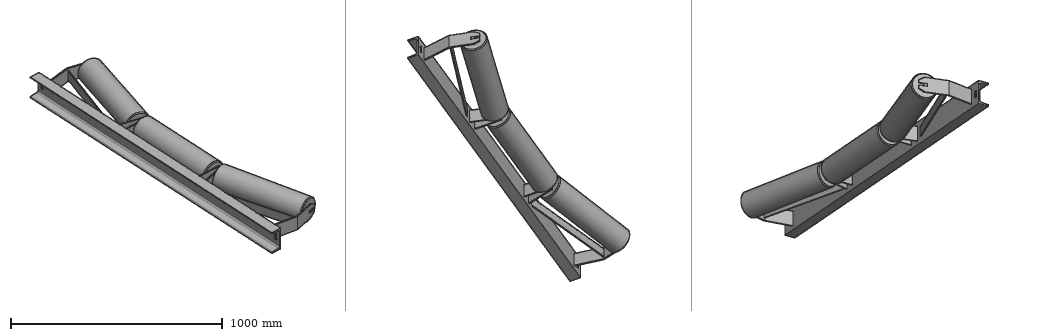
import cadquery as cq
import math


beam_length = 1700.0
beam_height = 120.0
flange_width = 56.0
web_thickness = 7.0
flange_root_thickness = 11.0
flange_tip_thickness = 7.0
flange_root_radius = 8.0
flange_tip_radius = 4.2
beam_slot_length = 37.0
beam_slot_width = 14.0
beam_slot_inset = 29.0

roller_radius = 66.0
roller_length = 500.0
roller_edge_chamfer = 5.0
shaft_radius = 10.0
shaft_flat_width = 14.0
roller_axis_height = 117.0
wing_angle = 15.0
wing_center_x = 527.0
wing_center_y = 185.0

bracket_width = 76.0
outer_thickness = 7.6
inner_thickness = 6.0
outer_gap = 6.0
inner_gap = 5.0
outer_top = 32.0
outer_bend_drop = 114.0
outer_foot_x = 780.0
outer_corner_width = 15.0
outer_corner_height = 27.0
inner_top_y = 143.0
brace_thickness = 6.0
brace_width = 51.0
brace_foot_x = 354.0

wing_rad = math.radians(wing_angle)
center_frame = cq.Plane(origin=(0, roller_axis_height, 0))
wing_frame = cq.Plane(
    origin=(wing_center_x, wing_center_y, 0),
    xDir=(math.cos(wing_rad), math.sin(wing_rad), 0),
    normal=(0, 0, 1),
)

roller_end = roller_length / 2
outer_face = roller_end + outer_gap
inner_face = roller_end + inner_gap
outer_shaft_end = outer_face + outer_thickness
inner_shaft_end = inner_face + inner_thickness


def in_frame(body, frame):
    return body.moved(cq.Location(frame))


def mirrored(body):
    return body.mirror("YZ")


def frame_point(frame, along, up):
    point = frame.toWorldCoords((along, up, 0))
    return (point.x, point.y)


def point_at_height(start, end, height):
    """Point at Y = height on the line through start and end."""
    share = (height - start[1]) / (end[1] - start[1])
    return (start[0] + share * (end[0] - start[0]), height)


def offset_path(path, thickness):
    """The path moved to its left by the thickness, with mitred corners."""
    directions = []
    for start, end in zip(path, path[1:]):
        length = math.dist(start, end)
        directions.append(((end[0] - start[0]) / length, (end[1] - start[1]) / length))
    moved = []
    for index, (x, y) in enumerate(path):
        before = directions[max(index - 1, 0)]
        after = directions[min(index, len(directions) - 1)]
        stretch = thickness / (1 + before[0] * after[0] + before[1] * after[1])
        moved.append((x - stretch * (before[1] + after[1]), y + stretch * (before[0] + after[0])))
    return moved


def bent_plate(path, thickness, width):
    """Flat bar bent along the path, lying on its left, cut off flush with the beam web."""
    outline = path + offset_path(path, thickness)[::-1]
    bar = cq.Workplane("XY").polyline(outline).close().extrude(width).translate((0, 0, -width / 2))
    beam_side = cq.Workplane("XY").box(
        beam_length, 2 * flange_width, 2 * width, centered=(True, False, True)
    )
    return bar.cut(beam_side.translate((0, -2 * flange_width, 0)))


def inner_edges_near(y):
    """Selector for the lengthwise beam edges at the given Y, between the outer flange faces."""
    reach = flange_tip_thickness / 2
    half_gap = beam_height / 2 - reach
    return cq.selectors.BoxSelector((-reach, y - reach, -half_gap), (reach, y + reach, half_gap))


def make_beam():
    """Channel with its flanges pointing to -Y and an upright slot near each end of the web."""
    half = beam_height / 2
    beam = (
        cq.Workplane("YZ")
        .polyline([
            (0, -half),
            (0, half),
            (-flange_width, half),
            (-flange_width, half - flange_tip_thickness),
            (-web_thickness, half - flange_root_thickness),
            (-web_thickness, flange_root_thickness - half),
            (-flange_width, flange_tip_thickness - half),
            (-flange_width, -half),
        ])
        .close()
        .extrude(beam_length)
        .translate((-beam_length / 2, 0, 0))
    )
    beam = beam.edges(inner_edges_near(-web_thickness)).fillet(flange_root_radius)
    beam = beam.edges(inner_edges_near(-flange_width)).fillet(flange_tip_radius)
    slot_x = beam_length / 2 - beam_slot_inset
    slots = (
        cq.Workplane("XZ")
        .pushPoints([(-slot_x, 0), (slot_x, 0)])
        .slot2D(beam_slot_length, beam_slot_width, 90)
        .extrude(web_thickness)
    )
    return beam.cut(slots).solids().val()


def flatted_shaft(start, end):
    """Shaft end with two flats facing +Z and -Z."""
    round_bar = cq.Workplane("YZ").workplane(offset=start).circle(shaft_radius).extrude(end - start)
    flats = cq.Workplane("YZ").workplane(offset=start).rect(2 * shaft_radius, shaft_flat_width)
    return round_bar.intersect(flats.extrude(end - start))


def make_roller(left_shaft_end, right_shaft_end):
    """Roller centred on its frame's x axis, with a flatted shaft end reaching out on each side."""
    shell = (
        cq.Workplane("YZ")
        .circle(roller_radius)
        .extrude(roller_length)
        .translate((-roller_end, 0, 0))
        .edges()
        .chamfer(roller_edge_chamfer)
    )
    left_shaft = flatted_shaft(-left_shaft_end, -roller_end)
    right_shaft = flatted_shaft(roller_end, right_shaft_end)
    return shell.union(left_shaft).union(right_shaft).solids().val()


def shaft_slot(start, end):
    """Cutter for a bracket slot that is open at the top and seats the shaft on its floor."""
    return (
        cq.Workplane("XY")
        .box(end - start, outer_top + shaft_radius, shaft_flat_width, centered=(False, False, True))
        .translate((start, -shaft_radius, 0))
    )


outer_bend = frame_point(wing_frame, outer_face, -outer_bend_drop)


def make_outer_bracket():
    """Bent plate with a sloping leg, chamfered top corners and a slot for the wing shaft."""
    path = [
        point_at_height(outer_bend, (outer_foot_x, 0), -outer_thickness),
        outer_bend,
        frame_point(wing_frame, outer_face, outer_top),
    ]
    plate = bent_plate(path, -outer_thickness, bracket_width)
    half = bracket_width / 2
    corner = (
        cq.Workplane("YZ")
        .workplane(offset=outer_face)
        .polyline([
            (outer_top, half),
            (outer_top - outer_corner_height, half),
            (outer_top, half - outer_corner_width),
        ])
        .close()
        .extrude(outer_thickness)
    )
    slot = shaft_slot(outer_face, outer_shaft_end)
    for cutter in (corner, corner.mirror("XY"), slot):
        plate = plate.cut(cq.Workplane(in_frame(cutter.val(), wing_frame)))
    return plate.solids().val()


def make_inner_bracket():
    """Two legs joined by a bridge: one carries the centre roller, the other a wing roller."""
    wing_face_low = frame_point(wing_frame, -inner_face, -roller_radius)
    wing_face_high = frame_point(wing_frame, -inner_face, 0)
    path = [
        point_at_height(wing_face_low, wing_face_high, -inner_thickness),
        point_at_height(wing_face_low, wing_face_high, inner_top_y),
        (inner_face, inner_top_y),
        (inner_face, -inner_thickness),
    ]
    plate = bent_plate(path, inner_thickness, bracket_width)
    center_slot = in_frame(shaft_slot(inner_face, inner_shaft_end).val(), center_frame)
    wing_slot = in_frame(shaft_slot(-inner_shaft_end, -inner_face).val(), wing_frame)
    return plate.cut(cq.Workplane(center_slot)).cut(cq.Workplane(wing_slot)).solids().val()


def make_brace():
    """Flat strut from the bend of an outer bracket down to the beam."""
    foot = point_at_height(outer_bend, (brace_foot_x, 0), -brace_thickness)
    return bent_plate([outer_bend, foot], -brace_thickness, brace_width).solids().val()


beam = make_beam()
center_roller = in_frame(make_roller(inner_shaft_end, inner_shaft_end), center_frame)
wing_roller = in_frame(make_roller(inner_shaft_end, outer_shaft_end), wing_frame)
outer_bracket = make_outer_bracket()
inner_bracket = make_inner_bracket()
brace = make_brace()

bodies = [beam, center_roller]
for body in (wing_roller, outer_bracket, inner_bracket, brace):
    bodies += [body, mirrored(body)]

result = cq.Compound.makeCompound(bodies)